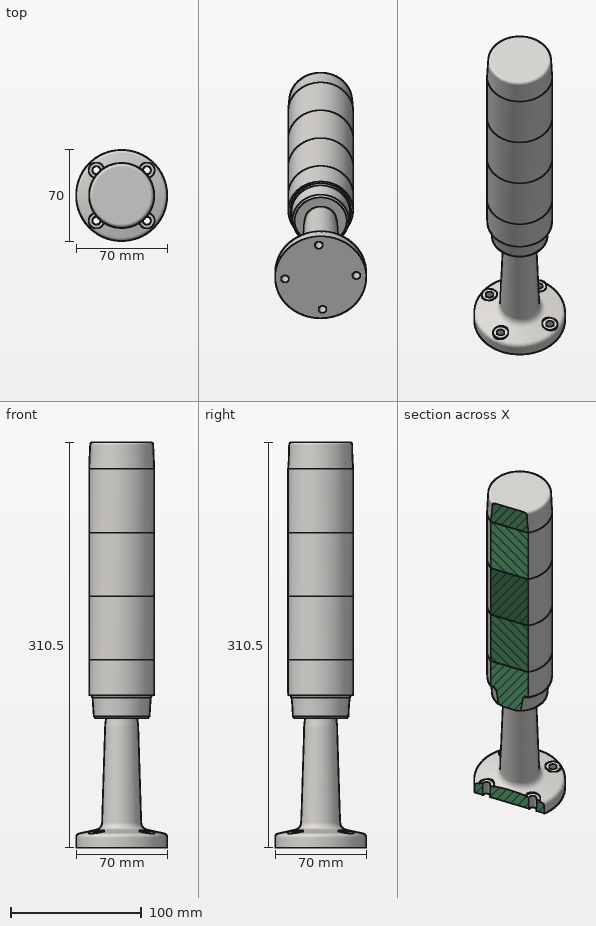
import cadquery as cq
import math

TOTAL_HEIGHT = 310.5
BODY_RADIUS = 50.0 / 2
FOOT_RADIUS = 70.0 / 2

MODULE_COUNT = 3
MODULE_HEIGHT = 48.7
STACK_BOTTOM = 143.7
STACK_TOP = STACK_BOTTOM + MODULE_COUNT * MODULE_HEIGHT

CAP_SHOULDER_RADIUS = 24.2
CAP_EDGE_ROUND = 2.2

FOOT_EDGE_Z = 10.5
FOOT_EDGE_ROUND = 3.0
FOOT_SLOPE_INNER_RADIUS = 19.5
FOOT_SLOPE_INNER_Z = 14.0

POLE_BOTTOM_RADIUS = 30.0 / 2
POLE_BOTTOM_Z = 19.5
POLE_TOP_RADIUS = 12.7
POLE_TOP_Z = 93.5
NECK_TOP_RADIUS = 12.0

COLLAR_BOTTOM_Z = 99.0
COLLAR_BOTTOM_RADIUS = 21.5
COLLAR_CHAMFER = 1.5
COLLAR_TOP_Z = 115.0
COLLAR_TOP_RADIUS = 22.5
COLLAR_FLARE_RADIUS = 23.3

HOUSING_BOTTOM_Z = 116.7
HOUSING_BAND_HEIGHT = 2.0
HOUSING_BOTTOM_RADIUS = 24.8

HOLE_COUNT = 4
HOLE_CIRCLE_RADIUS = 27.3
HOLE_FIRST_ANGLE = 45.0
HOLE_DIAMETER = 6.0
SEAT_DIAMETER = 11.8
SEAT_Z = 12.5


def revolve_about_z(profile):
    """Turn a closed outline drawn in the XZ plane (radius, height) about Z."""
    return profile.close().revolve(360, (0, 0, 0), (0, 1, 0))


def round_midpoint(center_radius, center_z, round_radius):
    """Middle point of a quarter round that faces outward and up."""
    offset = round_radius * math.sin(math.radians(45))
    return (center_radius + offset, center_z + offset)


def make_stand():
    """Foot, pole, collar and terminal housing as one turned body."""
    turned = revolve_about_z(
        cq.Workplane("XZ")
        .moveTo(0, 0)
        .lineTo(FOOT_RADIUS, 0)
        .lineTo(FOOT_RADIUS, FOOT_EDGE_Z)
        .lineTo(FOOT_SLOPE_INNER_RADIUS, FOOT_SLOPE_INNER_Z)
        .tangentArcPoint((POLE_BOTTOM_RADIUS, POLE_BOTTOM_Z), relative=False)
        .lineTo(POLE_TOP_RADIUS, POLE_TOP_Z)
        .lineTo(NECK_TOP_RADIUS, COLLAR_BOTTOM_Z)
        .lineTo(COLLAR_BOTTOM_RADIUS - COLLAR_CHAMFER, COLLAR_BOTTOM_Z)
        .lineTo(COLLAR_BOTTOM_RADIUS, COLLAR_BOTTOM_Z + COLLAR_CHAMFER)
        .lineTo(COLLAR_TOP_RADIUS, COLLAR_TOP_Z)
        .lineTo(COLLAR_FLARE_RADIUS, HOUSING_BOTTOM_Z)
        .lineTo(HOUSING_BOTTOM_RADIUS, HOUSING_BOTTOM_Z)
        .lineTo(BODY_RADIUS, HOUSING_BOTTOM_Z + HOUSING_BAND_HEIGHT)
        .lineTo(BODY_RADIUS, STACK_BOTTOM)
        .lineTo(0, STACK_BOTTOM)
    )
    foot_edge = cq.selectors.NearestToPointSelector((0, 0, FOOT_EDGE_Z))
    return add_mounting_holes(turned.edges(foot_edge).fillet(FOOT_EDGE_ROUND))


def cylinders_at_holes(diameter, bottom_z, top_z):
    """One upright cylinder at each mounting hole position."""
    return (
        cq.Workplane("XY", origin=(0, 0, bottom_z))
        .polarArray(HOLE_CIRCLE_RADIUS, HOLE_FIRST_ANGLE, 360, HOLE_COUNT)
        .circle(diameter / 2)
        .extrude(top_z - bottom_z)
    )


def add_mounting_holes(foot):
    """Level a seat around each hole, then drill the holes through the foot.

    The seat stands above the sloped foot on its outer side and is sunk into it on its inner side.
    """
    seat_pads = cylinders_at_holes(SEAT_DIAMETER, FOOT_EDGE_Z / 2, SEAT_Z)
    seat_recesses = cylinders_at_holes(SEAT_DIAMETER, SEAT_Z, POLE_BOTTOM_Z)
    holes = cylinders_at_holes(HOLE_DIAMETER, 0, POLE_BOTTOM_Z)
    return foot.union(seat_pads).cut(seat_recesses).cut(holes)


def make_light_module(index):
    """One plain cylindrical module; index 0 is the lowest."""
    bottom_z = STACK_BOTTOM + index * MODULE_HEIGHT
    return cq.Workplane("XY", origin=(0, 0, bottom_z)).circle(BODY_RADIUS).extrude(MODULE_HEIGHT)


def make_cap():
    """Slightly tapered cap with a rounded top edge."""
    round_start_z = TOTAL_HEIGHT - CAP_EDGE_ROUND
    flat_radius = CAP_SHOULDER_RADIUS - CAP_EDGE_ROUND
    return revolve_about_z(
        cq.Workplane("XZ")
        .moveTo(0, STACK_TOP)
        .lineTo(BODY_RADIUS, STACK_TOP)
        .lineTo(CAP_SHOULDER_RADIUS, round_start_z)
        .threePointArc(
            round_midpoint(flat_radius, round_start_z, CAP_EDGE_ROUND),
            (flat_radius, TOTAL_HEIGHT),
        )
        .lineTo(0, TOTAL_HEIGHT)
    )


stand = make_stand()
light_modules = [make_light_module(index) for index in range(MODULE_COUNT)]
cap = make_cap()

result = cq.Compound.makeCompound(
    [stand.val(), *[module.val() for module in light_modules], cap.val()]
)